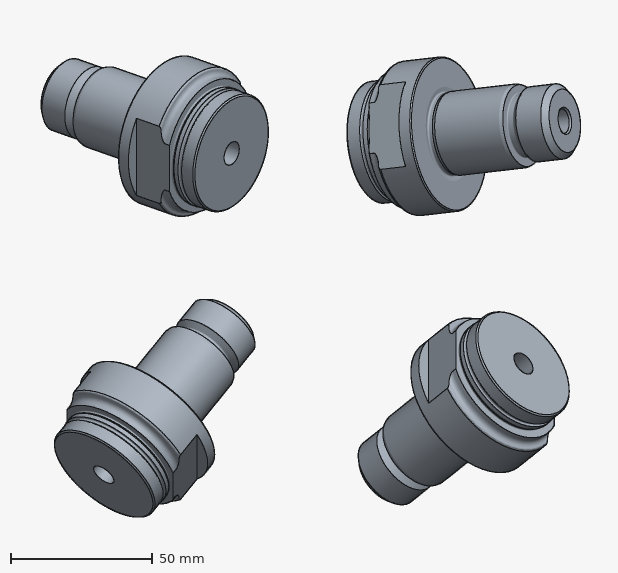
import cadquery as cq
import math

LENGTH = 76.7
NOSE_CONE_START = 12.35
SHANK_START = 16.95
SHANK_END = 44.5
RELIEF_FLOOR_START = 45.6
FLANGE_START = 47.0
FLAT_START = 51.8
RIM_ROUND_START = 61.95
STEP_END = 66.6
COLLAR_START = 67.9
COLLAR_END = 69.7
SPIGOT_START = 71.15

NOSE_RADIUS = 13.4
NOSE_NECK_RADIUS = 11.35
SHANK_RADIUS = 14.95
RELIEF_RADIUS = 14.6
FACE_RELIEF_RADIUS = 16.7
FLANGE_RADIUS = 27.49
STEP_RADIUS = 24.6
COLLAR_NECK_RADIUS = 21.7
COLLAR_RADIUS = 21.9
GROOVE_RADIUS = 21.0
SPIGOT_RADIUS = 21.7
BORE_RADIUS = 4.4

NOSE_CHAMFER = 2.15
NOSE_CONE_BLEND = 0.4
NECK_FILLET = 0.4
SHANK_CHAMFER_LENGTH = 1.2
SHANK_CHAMFER_DEPTH = 0.4
FACE_RELIEF_DEPTH = 0.3
RELIEF_FILLET = 0.6
FLANGE_CHAMFER = 0.45
RIM_ROUND = 0.9
COLLAR_NECK_FILLET = 0.3
COLLAR_RAMP_LENGTH = 0.5
GROOVE_FILLET = 0.3
SPIGOT_CHAMFER = 0.5
COUNTERSINK_WIDTH = 0.45
COUNTERSINK_DEPTH = 0.8

FLAT_OFFSET = 22.85


def turned_body():
    """Revolve the stepped half-profile about the X axis."""
    rim_face = RIM_ROUND_START + RIM_ROUND
    rim_round_bottom = FLANGE_RADIUS - RIM_ROUND
    step_fillet = rim_round_bottom - STEP_RADIUS
    cone_corner = NOSE_CONE_START + NOSE_RADIUS - NOSE_NECK_RADIUS
    blend_tangent = NOSE_CONE_BLEND * math.tan(math.radians(45 / 2))
    blend_drop = blend_tangent * math.cos(math.radians(45))
    relief_face = FLANGE_START + FACE_RELIEF_DEPTH

    profile = (
        cq.Workplane("XY")
        .lineTo(0, NOSE_RADIUS - NOSE_CHAMFER)
        .lineTo(NOSE_CHAMFER, NOSE_RADIUS)
        .lineTo(NOSE_CONE_START, NOSE_RADIUS)
        .lineTo(cone_corner - blend_drop, NOSE_NECK_RADIUS + blend_drop)
        .radiusArc((cone_corner + blend_tangent, NOSE_NECK_RADIUS), -NOSE_CONE_BLEND)
        .lineTo(SHANK_START - NECK_FILLET, NOSE_NECK_RADIUS)
        .radiusArc((SHANK_START, NOSE_NECK_RADIUS + NECK_FILLET), -NECK_FILLET)
        .lineTo(SHANK_START, SHANK_RADIUS - SHANK_CHAMFER_DEPTH)
        .lineTo(SHANK_START + SHANK_CHAMFER_LENGTH, SHANK_RADIUS)
        .lineTo(SHANK_END, SHANK_RADIUS)
        .lineTo(RELIEF_FLOOR_START, RELIEF_RADIUS)
        .lineTo(relief_face - RELIEF_FILLET, RELIEF_RADIUS)
        .radiusArc((relief_face, RELIEF_RADIUS + RELIEF_FILLET), -RELIEF_FILLET)
        .lineTo(FLANGE_START, FACE_RELIEF_RADIUS)
        .lineTo(FLANGE_START, FLANGE_RADIUS - FLANGE_CHAMFER)
        .lineTo(FLANGE_START + FLANGE_CHAMFER, FLANGE_RADIUS)
        .lineTo(RIM_ROUND_START, FLANGE_RADIUS)
        .radiusArc((rim_face, rim_round_bottom), RIM_ROUND)
        .radiusArc((rim_face + step_fillet, STEP_RADIUS), -step_fillet)
        .lineTo(STEP_END, STEP_RADIUS)
        .lineTo(STEP_END, COLLAR_NECK_RADIUS + COLLAR_NECK_FILLET)
        .radiusArc((STEP_END + COLLAR_NECK_FILLET, COLLAR_NECK_RADIUS), -COLLAR_NECK_FILLET)
        .lineTo(COLLAR_START - COLLAR_RAMP_LENGTH, COLLAR_NECK_RADIUS)
        .lineTo(COLLAR_START, COLLAR_RADIUS)
        .lineTo(COLLAR_END, COLLAR_RADIUS)
        .lineTo(COLLAR_END, GROOVE_RADIUS + GROOVE_FILLET)
        .radiusArc((COLLAR_END + GROOVE_FILLET, GROOVE_RADIUS), -GROOVE_FILLET)
        .lineTo(SPIGOT_START - GROOVE_FILLET, GROOVE_RADIUS)
        .radiusArc((SPIGOT_START, GROOVE_RADIUS + GROOVE_FILLET), -GROOVE_FILLET)
        .lineTo(SPIGOT_START, SPIGOT_RADIUS)
        .lineTo(LENGTH - SPIGOT_CHAMFER, SPIGOT_RADIUS)
        .lineTo(LENGTH, SPIGOT_RADIUS - SPIGOT_CHAMFER)
        .lineTo(LENGTH, 0)
        .close()
    )
    return profile.revolve(360, (0, 0, 0), (1, 0, 0))


def wrench_flat(side):
    """Block removed from the flange on the +Y (side=1) or -Y (side=-1) side."""
    depth = FLANGE_RADIUS - FLAT_OFFSET
    return (
        cq.Workplane("XY")
        .box(STEP_END - FLAT_START, depth, 2 * FLANGE_RADIUS, centered=(False, True, True))
        .translate((FLAT_START, side * (FLAT_OFFSET + depth / 2), 0))
    )


def bore():
    """Through bore with a countersink at the nose face."""
    return (
        cq.Workplane("XY")
        .lineTo(0, BORE_RADIUS + COUNTERSINK_WIDTH)
        .lineTo(COUNTERSINK_DEPTH, BORE_RADIUS)
        .lineTo(LENGTH, BORE_RADIUS)
        .lineTo(LENGTH, 0)
        .close()
        .revolve(360, (0, 0, 0), (1, 0, 0))
    )


result = turned_body().cut(bore())
for flat_side in (-1, 1):
    result = result.cut(wrench_flat(flat_side))